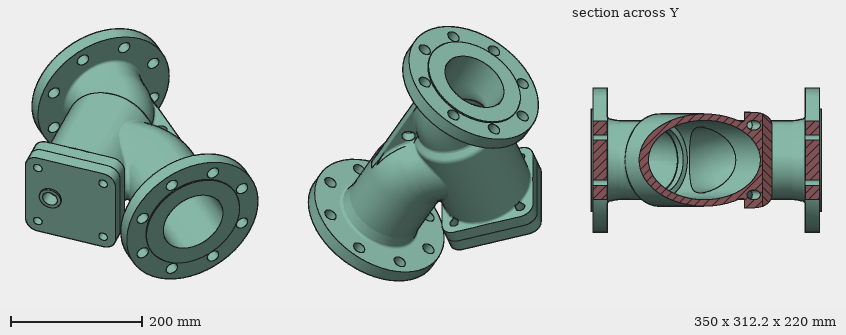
import cadquery as cq
import math

overall_length = 350.0
bore_radius = 50.0
pipe_radius = 60.0
bend_radius = 65.0
bend_angle = 45.0
right_bend_x = 56.0

flange_radius = 110.0
flange_thickness = 22.0
raised_face_radius = 78.0
raised_face_height = 2.5
bolt_circle_radius = 90.0
bolt_hole_radius = 9.5
bolt_count = 8
neck_radius = 62.5
neck_length = 20.0
neck_fillet = 4.5

branch_offset = 67.0
branch_radius = 70.5
shoulder_start = -47.5
cone_root_depth = 5.0
shoulder_round = 10.0
blend_fillet = 5.0
chamber_radius = 60.0
chamber_start = -33.5
seat_radius = 51.0
seat_start = -45.0

cover_joint = 126.0
plate_thickness = 20.0
plate_size = 146.0
plate_corner = 20.0
screw_offset = plate_size / 2 - plate_corner
screw_hole_radius = 7.0
plate_fillet = 5.0
screw_hole_depth = plate_thickness + plate_fillet
boss_radius = 17.5
boss_height = 3.0
boss_hole_radius = 12.0
boss_offset = -32.0

web_thickness = 16.0
web_fillet = 5.0
web_edge_round = 2.0
web_hole_radius = 10.0
web_hole_x = -32.0
web_hole_y = 41.0

diagonal = math.sqrt(0.5)
half_length = overall_length / 2
flange_front = half_length - raised_face_height
flange_back = flange_front - flange_thickness
neck_end = flange_back - neck_length
branch_origin = branch_offset * diagonal
left_bend_x = -branch_offset * math.sqrt(2) - bend_radius * (math.sqrt(2) - 1)
plate_back = cover_joint - plate_thickness
foot_start = plate_back - plate_fillet
foot_rim = branch_radius + plate_fillet


def branch_plane(distance):
    """Plane square to the branch axis; local x lies in XY, local y is Z."""
    step = distance * diagonal
    return cq.Plane(
        origin=(step - branch_origin, -step - branch_origin, 0),
        xDir=(1, 1, 0),
        normal=(1, -1, 0),
    )


def branch_cylinder(radius, start, end):
    return cq.Workplane(branch_plane(start)).circle(radius).extrude(end - start)


def axial_profile():
    """Sketch plane through the branch axis; local x is the radius, local y runs along the axis."""
    return cq.Workplane(
        cq.Plane(origin=(-branch_origin, -branch_origin, 0), xDir=(1, 1, 0), normal=(0, 0, -1))
    )


def elbow(radius, bend_x, side, tail=0):
    """Straight pipe from the end face (side -1 or +1), a 45 degree bend and an optional tail."""
    straight = (
        cq.Workplane("YZ", origin=(bend_x, 0, 0))
        .circle(radius)
        .extrude(side * half_length - bend_x)
    )
    bend = (
        cq.Workplane("YZ", origin=(bend_x, 0, 0))
        .circle(radius)
        .revolve(bend_angle, (-bend_radius, 0), (-bend_radius, side))
    )
    bend_run = bend_radius * diagonal
    tail_plane = cq.Plane(
        origin=(bend_x - side * bend_run, bend_run - bend_radius, 0),
        xDir=(0, 0, 1),
        normal=(-side, -1, 0),
    )
    pipe = straight.union(bend)
    if tail > 0:
        pipe = pipe.union(cq.Workplane(tail_plane).circle(radius).extrude(tail))
    return pipe


def end_flange():
    """Flange with raised face and weld neck at the +X end, revolved about X."""
    foot_x = flange_back - neck_fillet
    arc_inset = neck_fillet * diagonal
    profile = (
        cq.Workplane("XY")
        .moveTo(neck_end, 0)
        .lineTo(neck_end, pipe_radius)
        .lineTo(foot_x, neck_radius)
        .threePointArc(
            (foot_x + arc_inset, neck_radius + neck_fillet - arc_inset),
            (flange_back, neck_radius + neck_fillet),
        )
        .lineTo(flange_back, flange_radius)
        .lineTo(flange_front, flange_radius)
        .lineTo(flange_front, raised_face_radius)
        .lineTo(half_length, raised_face_radius)
        .lineTo(half_length, 0)
        .close()
    )
    flange = profile.revolve(360, (0, 0, 0), (1, 0, 0))
    holes = (
        cq.Workplane("YZ", origin=(flange_back, 0, 0))
        .polarArray(bolt_circle_radius, 180 / bolt_count, 360, bolt_count)
        .circle(bolt_hole_radius)
        .extrude(flange_thickness)
    )
    return flange.cut(holes)


def branch_barrel():
    """Cylinder with a 45 degree shoulder and a flared foot, revolved about the branch axis."""
    half_turn = math.radians(bend_angle / 2)
    round_reach = shoulder_round * math.tan(half_turn)
    shoulder_end = shoulder_start + branch_radius - pipe_radius
    round_end = shoulder_end + round_reach
    foot_inset = plate_fillet * diagonal
    return (
        axial_profile()
        .moveTo(0, shoulder_start - cone_root_depth)
        .lineTo(pipe_radius - cone_root_depth, shoulder_start - cone_root_depth)
        .lineTo(
            branch_radius - round_reach * diagonal,
            shoulder_end - round_reach * diagonal,
        )
        .threePointArc(
            (
                branch_radius - shoulder_round * (1 - math.cos(half_turn)),
                round_end - shoulder_round * math.sin(half_turn),
            ),
            (branch_radius, round_end),
        )
        .lineTo(branch_radius, foot_start)
        .threePointArc(
            (foot_rim - foot_inset, foot_start + foot_inset),
            (foot_rim, plate_back),
        )
        .lineTo(0, plate_back)
        .close()
        .revolve(360, (0, 0, 0), (0, 1, 0))
    )


def square_plate(start):
    return (
        cq.Workplane(branch_plane(start))
        .rect(plate_size, plate_size)
        .extrude(plate_thickness)
        .edges("|(1,-1,0)")
        .fillet(plate_corner)
    )


def screw_holes(start, depth):
    return (
        cq.Workplane(branch_plane(start))
        .rect(2 * screw_offset, 2 * screw_offset, forConstruction=True)
        .vertices()
        .circle(screw_hole_radius)
        .extrude(depth)
    )


def web_plate():
    """Flat web filling the valley between the two elbows."""
    return (
        cq.Workplane("XY", origin=(0, 0, -web_thickness / 2))
        .moveTo(left_bend_x, 0)
        .lineTo(left_bend_x, pipe_radius)
        .lineTo(right_bend_x, pipe_radius)
        .lineTo(right_bend_x, 0)
        .close()
        .extrude(web_thickness)
        .edges("|X and >Y")
        .fillet(web_edge_round)
    )


def web_side_fillet(bend_x, side, face):
    """Concave fillet between one web face (face -1 or +1) and the outside of one elbow."""
    web_face = web_thickness / 2
    centre_height = web_face + web_fillet
    centre_reach = math.sqrt((pipe_radius + web_fillet) ** 2 - centre_height ** 2)
    touch = pipe_radius / (pipe_radius + web_fillet)
    lean = math.atan2(centre_height, centre_reach)
    mid_angle = (lean + math.pi / 2) / 2
    arc_middle = (
        bend_radius + centre_reach - web_fillet * math.cos(mid_angle),
        face * (centre_height - web_fillet * math.sin(mid_angle)),
    )
    section = (
        cq.Workplane("XZ", origin=(bend_x, -bend_radius, 0))
        .moveTo(bend_radius + centre_reach * touch, face * centre_height * touch)
        .threePointArc(arc_middle, (bend_radius + centre_reach, face * web_face))
        .lineTo(bend_radius + centre_reach, 0)
        .lineTo(bend_radius + centre_reach * touch, 0)
        .close()
    )
    ring = section.revolve(360, (0, 0, 0), (0, 1, 0))
    reach = right_bend_x - left_bend_x
    valley = (
        cq.Workplane("XY")
        .center(bend_x - side * reach / 4, pipe_radius / 2 - web_edge_round / 2)
        .rect(reach / 2, pipe_radius - web_edge_round)
        .extrude(2 * pipe_radius, both=True)
    )
    return ring.intersect(valley)


def foot_overhang():
    """Parts of the barrel's flared foot that lie outside the square plate."""
    blank = branch_cylinder(foot_rim + plate_fillet, foot_start, plate_back)
    return blank.cut(square_plate(plate_back - plate_thickness))


def build_body():
    inlet_pipe = elbow(pipe_radius, left_bend_x, -1)
    outlet_pipe = elbow(pipe_radius, right_bend_x, 1, branch_offset)
    body = branch_barrel().union(inlet_pipe).union(outlet_pipe)
    body = body.edges("%BSPLINE").fillet(blend_fillet)
    body = body.cut(foot_overhang()).union(square_plate(plate_back)).union(web_plate())
    for bend_x, side in ((left_bend_x, -1), (right_bend_x, 1)):
        for face in (-1, 1):
            body = body.union(web_side_fillet(bend_x, side, face))
    body = body.union(end_flange()).union(end_flange().mirror("YZ"))

    body = body.cut(elbow(bore_radius, left_bend_x, -1))
    body = body.cut(elbow(bore_radius, right_bend_x, 1, branch_offset))
    body = body.cut(branch_cylinder(seat_radius, seat_start, chamber_start))
    body = body.cut(branch_cylinder(chamber_radius, chamber_start, cover_joint))
    body = body.cut(screw_holes(cover_joint - screw_hole_depth, screw_hole_depth))
    web_hole = (
        cq.Workplane("XY")
        .center(web_hole_x, web_hole_y)
        .circle(web_hole_radius)
        .extrude(2 * pipe_radius, both=True)
    )
    return body.cut(web_hole)


def build_cover():
    outer_face = cover_joint + plate_thickness
    boss = (
        cq.Workplane(branch_plane(outer_face))
        .center(boss_offset, 0)
        .circle(boss_radius)
        .extrude(boss_height)
    )
    boss_hole = (
        cq.Workplane(branch_plane(cover_joint))
        .center(boss_offset, 0)
        .circle(boss_hole_radius)
        .extrude(plate_thickness + boss_height)
    )
    cover = square_plate(cover_joint).union(boss)
    return cover.cut(boss_hole).cut(screw_holes(cover_joint, plate_thickness))


body = build_body()
cover = build_cover()
result = cq.Compound.makeCompound([body.val(), cover.val()])